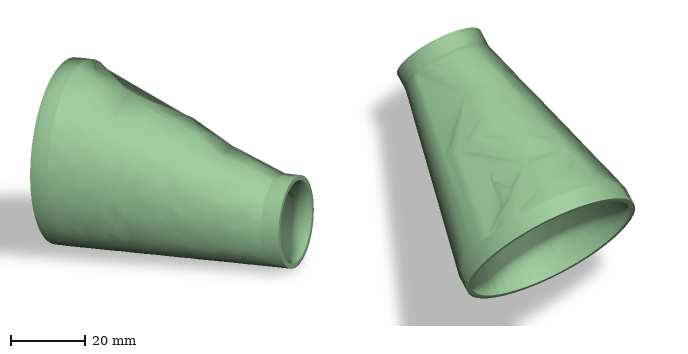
import cadquery as cq

length = 67.0
collar_length = 5.0
large_diameter = 50.8
large_bore = 47.8
small_diameter = 25.4
small_bore = 22.7

axis_drop = (large_diameter - small_diameter) / 2
cone_length = length - 2 * collar_length
small_collar_start = collar_length + cone_length


def reducer_body(large_end_diameter, small_end_diameter):
    """Solid collar, slanted cone and collar running along +X."""
    large_collar = cq.Workplane("YZ").circle(large_end_diameter / 2).extrude(collar_length)
    cone = (
        cq.Workplane("YZ", origin=(collar_length, 0, 0))
        .circle(large_end_diameter / 2)
        .workplane(offset=cone_length)
        .center(0, -axis_drop)
        .circle(small_end_diameter / 2)
        .loft(ruled=True)
    )
    small_collar = (
        cq.Workplane("YZ", origin=(small_collar_start, 0, -axis_drop))
        .circle(small_end_diameter / 2)
        .extrude(collar_length)
    )
    return large_collar.union(cone).union(small_collar)


outer_body = reducer_body(large_diameter, small_diameter)
inner_passage = reducer_body(large_bore, small_bore)
result = outer_body.cut(inner_passage)